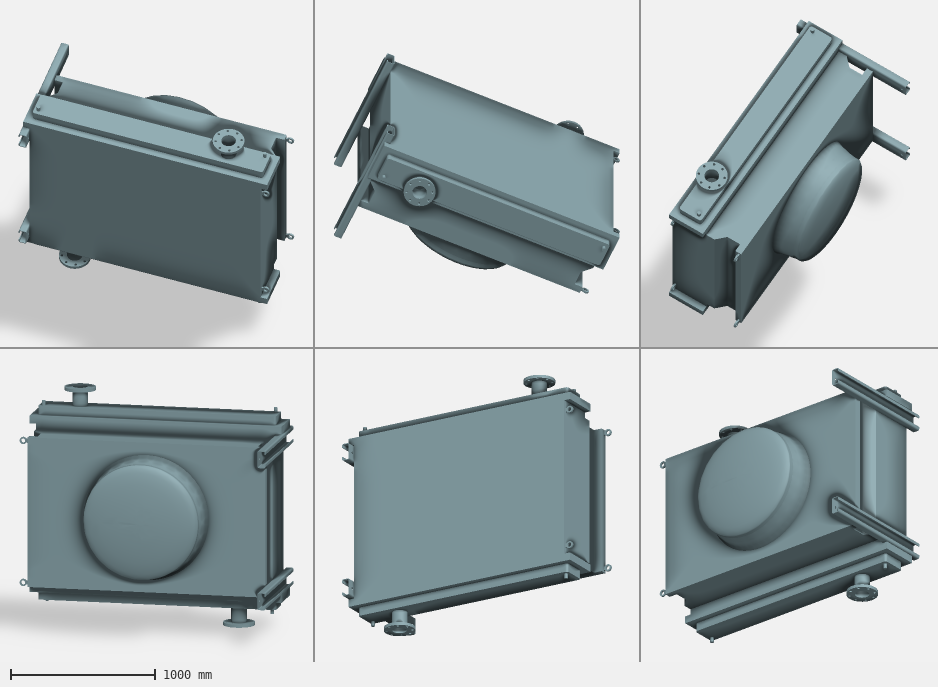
import cadquery as cq


OVERALL_DEPTH = 895.0
OVERALL_HEIGHT = 1630.0

CORE_HALF_WIDTH = 845.0
CORE_FRONT_Y = -378.0
CORE_BACK_Y = -100.0

PLATE_HALF_WIDTH = 891.0
PLATE_INNER_Z = 567.0
PLATE_OUTER_Z = 621.0
TANK_CENTER_Y = (CORE_FRONT_Y + CORE_BACK_Y) / 2
HEADER_WIDTH = 1684.0
HEADER_DEPTH = 180.0
HEADER_CORNER_RADIUS = 18.0
HEADER_OUTER_Z = 683.0
PLUG_RADIUS = 13.0
PLUG_OUTER_Z = 717.0
PLUG_OFFSET_X = 809.0
PLUG_OFFSET_Y = 54.0
PIPE_X = 562.0
PIPE_RADIUS = 54.0
BORE_RADIUS = 50.0
PIPE_OUTER_Z = OVERALL_HEIGHT / 2
FLANGE_RADIUS = 110.0
FLANGE_THICKNESS = 22.0
BOLT_COUNT = 8
BOLT_CIRCLE_RADIUS = 90.0
BOLT_HOLE_RADIUS = 9.0

SHROUD_HALF_WIDTH = 841.0
SHROUD_HALF_HEIGHT = 528.0
SHROUD_BACK_Y = 182.0
NOTCH_HALF_WIDTH = 780.0
NOTCH_BACK_Y = 133.0
NOTCH_FRONT_Y = 29.0
NOTCH_SLOPE_DEPTH = CORE_HALF_WIDTH - NOTCH_HALF_WIDTH

COWL_BASE_RADIUS = 441.0
COWL_FLARE_RADIUS = 425.0
COWL_FLARE_Y = 223.0
COWL_RIM_RADIUS = 405.0
COWL_RIM_Y = 331.0
DOME_START_Y = 360.0
DOME_TOP_Y = OVERALL_DEPTH / 2

RAIL_LENGTH = OVERALL_DEPTH
RAIL_OUTER_X = -900.0
RAIL_HEIGHT = 122.0
RAIL_CENTER_Z = 500.0
RAIL_WALL = 5.0
RAIL_LIP = 27.0
RAIL_BEND_RADIUS = 10.0
RAIL_HOLE_RADIUS = 9.0
RAIL_HOLE_YS = (-403.0, 416.0)

EYE_CENTER_X = 875.0
EYE_RADIUS = 25.0
EYE_HOLE_RADIUS = 15.0
EYE_TAB_HEIGHT = 27.0
EYE_THICKNESS = 13.0
FRONT_EYE_Y = -355.0
BACK_EYE_Y = 164.0


def box_between(x_min, x_max, y_min, y_max, z_min, z_max):
    """Box given by its limits along each axis."""
    size = (x_max - x_min, y_max - y_min, z_max - z_min)
    return cq.Workplane("XY").box(*size, centered=False).translate((x_min, y_min, z_min))


def upright_cylinder(x, y, radius, z_min, z_max):
    """Cylinder parallel to Z."""
    return cq.Workplane("XY", origin=(x, y, z_min)).circle(radius).extrude(z_max - z_min)


def make_core():
    return box_between(
        -CORE_HALF_WIDTH, CORE_HALF_WIDTH, CORE_FRONT_Y, CORE_BACK_Y, -PLATE_INNER_Z, PLATE_INNER_Z
    )


def make_flanged_pipe():
    """Pipe with a bolted flange at its outer end, bored down to the header box."""
    flange_inner_z = PIPE_OUTER_Z - FLANGE_THICKNESS
    pipe = upright_cylinder(PIPE_X, TANK_CENTER_Y, PIPE_RADIUS, HEADER_OUTER_Z, PIPE_OUTER_Z)
    flange = upright_cylinder(PIPE_X, TANK_CENTER_Y, FLANGE_RADIUS, flange_inner_z, PIPE_OUTER_Z)
    bore = upright_cylinder(PIPE_X, TANK_CENTER_Y, BORE_RADIUS, HEADER_OUTER_Z, PIPE_OUTER_Z)
    half_bolt_step = 180 / BOLT_COUNT
    bolt_holes = (
        cq.Workplane("XY", origin=(PIPE_X, TANK_CENTER_Y, flange_inner_z))
        .polarArray(BOLT_CIRCLE_RADIUS, half_bolt_step, 360, BOLT_COUNT)
        .circle(BOLT_HOLE_RADIUS)
        .extrude(FLANGE_THICKNESS)
    )
    return pipe.union(flange).cut(bore).cut(bolt_holes)


def make_top_tank():
    """Tube plate, header box, two diagonally placed plugs and the pipe."""
    tank = box_between(
        -PLATE_HALF_WIDTH, PLATE_HALF_WIDTH, CORE_FRONT_Y, CORE_BACK_Y, PLATE_INNER_Z, PLATE_OUTER_Z
    )
    header = (
        cq.Workplane("XY", origin=(0, TANK_CENTER_Y, PLATE_OUTER_Z))
        .rect(HEADER_WIDTH, HEADER_DEPTH)
        .extrude(HEADER_OUTER_Z - PLATE_OUTER_Z)
        .edges("|Z")
        .fillet(HEADER_CORNER_RADIUS)
    )
    tank = tank.union(header)
    for side in (-1, 1):
        plug_x = side * PLUG_OFFSET_X
        plug_y = TANK_CENTER_Y + side * PLUG_OFFSET_Y
        tank = tank.union(upright_cylinder(plug_x, plug_y, PLUG_RADIUS, HEADER_OUTER_Z, PLUG_OUTER_Z))
    return tank.union(make_flanged_pipe())


def make_shroud():
    """Upright prism with a notch in each side, sloping out to the core."""
    right_side = [
        (CORE_HALF_WIDTH, CORE_BACK_Y),
        (CORE_HALF_WIDTH, NOTCH_FRONT_Y - NOTCH_SLOPE_DEPTH),
        (NOTCH_HALF_WIDTH, NOTCH_FRONT_Y),
        (NOTCH_HALF_WIDTH, NOTCH_BACK_Y),
        (SHROUD_HALF_WIDTH, NOTCH_BACK_Y),
        (SHROUD_HALF_WIDTH, SHROUD_BACK_Y),
    ]
    left_side = [(-x, y) for x, y in reversed(right_side)]
    return (
        cq.Workplane("XY", origin=(0, 0, -SHROUD_HALF_HEIGHT))
        .polyline(right_side + left_side)
        .close()
        .extrude(2 * SHROUD_HALF_HEIGHT)
    )


def make_cowl():
    """Flared cone, short cylindrical rim and elliptical dome, turned about Y."""
    return (
        cq.Workplane("XY")
        .moveTo(0, SHROUD_BACK_Y)
        .lineTo(0, DOME_TOP_Y)
        .ellipseArc(COWL_RIM_RADIUS, DOME_TOP_Y - DOME_START_Y, 0, 90, sense=-1)
        .lineTo(COWL_RIM_RADIUS, COWL_RIM_Y)
        .lineTo(COWL_FLARE_RADIUS, COWL_FLARE_Y)
        .tangentArcPoint((COWL_BASE_RADIUS, SHROUD_BACK_Y), relative=False)
        .close()
        .revolve(360, (0, 0, 0), (0, 1, 0))
    )


def make_cooler():
    """Core, shroud and cowl with a tank at the top and the same tank turned over at the bottom."""
    top_tank = make_top_tank()
    bottom_tank = top_tank.rotate((0, 0, 0), (0, 1, 0), 180)
    return make_core().union(make_shroud()).union(make_cowl()).union(top_tank).union(bottom_tank)


def make_rail(center_z):
    """Lipped channel along Y, open toward -X, with a hole near each end of its web."""
    depth = -CORE_HALF_WIDTH - RAIL_OUTER_X
    center_x = RAIL_OUTER_X + depth / 2
    outside = cq.Workplane("XY").box(depth, RAIL_LENGTH, RAIL_HEIGHT).edges("|Y").fillet(RAIL_BEND_RADIUS)
    inside = (
        cq.Workplane("XY")
        .box(depth - 2 * RAIL_WALL, RAIL_LENGTH, RAIL_HEIGHT - 2 * RAIL_WALL)
        .edges("|Y")
        .fillet(RAIL_BEND_RADIUS - RAIL_WALL)
    )
    opening_height = RAIL_HEIGHT - 2 * RAIL_LIP
    opening = cq.Workplane("XY").box(depth, RAIL_LENGTH, opening_height).translate((-depth / 2, 0, 0))
    rail = outside.cut(inside).cut(opening)
    hole_points = [(y, 0) for y in RAIL_HOLE_YS]
    holes = cq.Workplane("YZ").pushPoints(hole_points).circle(RAIL_HOLE_RADIUS).extrude(depth)
    return rail.cut(holes).translate((center_x, 0, center_z))


def make_eye(mount_x, center_y, center_z):
    """Flat ring with a tab that ends on the side face at mount_x."""
    y_min = center_y - EYE_THICKNESS / 2
    y_max = center_y + EYE_THICKNESS / 2
    tab = box_between(
        mount_x, EYE_CENTER_X, y_min, y_max, center_z - EYE_TAB_HEIGHT / 2, center_z + EYE_TAB_HEIGHT / 2
    )
    ring_plane = cq.Workplane("XZ", origin=(EYE_CENTER_X, y_max, center_z))
    ring = ring_plane.circle(EYE_RADIUS).extrude(EYE_THICKNESS)
    hole = ring_plane.circle(EYE_HOLE_RADIUS).extrude(EYE_THICKNESS)
    return tab.union(ring).cut(hole)


cooler = make_cooler()

rails = []
eyes = []
for end in (-1, 1):
    rails.append(make_rail(end * RAIL_CENTER_Z))
    eyes.append(make_eye(CORE_HALF_WIDTH, FRONT_EYE_Y, end * RAIL_CENTER_Z))
    eyes.append(make_eye(SHROUD_HALF_WIDTH, BACK_EYE_Y, end * RAIL_CENTER_Z))

result = cq.Compound.makeCompound([cooler.val(), *[body.val() for body in rails + eyes]])